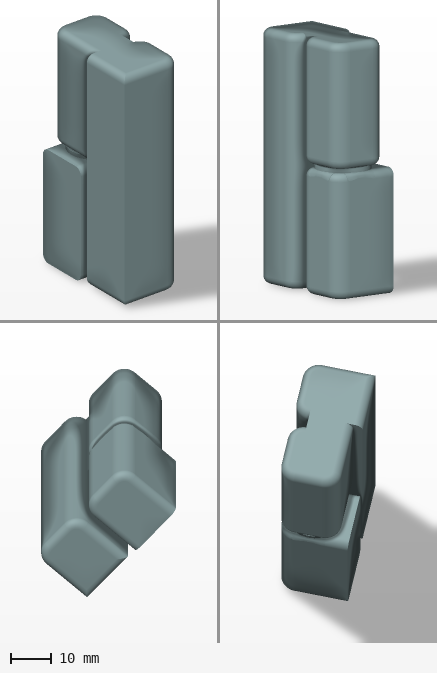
import cadquery as cq
import math

WIDTH = 32.5
DEPTH = 17.5
HEIGHT = 64.0

KNUCKLE = 15.05
EDGE_RADIUS = 2.0
CORNER_RADIUS = 4.0
COLLAR_DIAMETER = 14.0
COLLAR_HEIGHT = 1.0
LEAF_LIFT = 0.1
BLEND_STEPS = 4

LEFT = -WIDTH / 2
RIGHT = WIDTH / 2
FRONT = -DEPTH / 2
BACK = DEPTH / 2
BOTTOM = -HEIGHT / 2
TOP = HEIGHT / 2

SECTION_HEIGHT = (HEIGHT - COLLAR_HEIGHT) / 2
BLOCK_TOP = BOTTOM + SECTION_HEIGHT
KNUCKLE_BOTTOM = TOP - SECTION_HEIGHT
HALF = KNUCKLE / 2
AXIS_X = LEFT + HALF
AXIS_Y = BACK - HALF
LEAF_LEFT = RIGHT - KNUCKLE
LEAF_MIDDLE = RIGHT - HALF
KNUCKLE_FRONT = BACK - KNUCKLE
WEB_BACK = BACK - CORNER_RADIUS


def box_between(low, high):
    """Axis-aligned box between two opposite corners."""
    size = [b - a for a, b in zip(low, high)]
    return cq.Workplane("XY").box(*size, centered=False).translate(low)


def make_long_leaf():
    """Full-height leaf with round upright back corners and round end edges."""
    leaf = box_between((LEAF_LEFT, FRONT, BOTTOM + LEAF_LIFT), (RIGHT, BACK, TOP))
    leaf = leaf.edges("|Z and >Y").fillet(CORNER_RADIUS)
    return leaf.faces("<Z or >Z").edges().fillet(EDGE_RADIUS)


def make_knuckle():
    """Square knuckle with all its corners and end edges rounded."""
    knuckle = box_between((LEFT, KNUCKLE_FRONT, KNUCKLE_BOTTOM), (LEFT + KNUCKLE, BACK, TOP))
    knuckle = knuckle.edges("|Z").fillet(CORNER_RADIUS)
    return knuckle.faces("<Z or >Z").edges().fillet(EDGE_RADIUS)


def make_web():
    """Web from the knuckle into the leaf, round along its front edges."""
    web = box_between((AXIS_X, KNUCKLE_FRONT, KNUCKLE_BOTTOM), (LEAF_MIDDLE, WEB_BACK, TOP))
    return web.edges("|X and <Y").fillet(EDGE_RADIUS)


def square_off_shoulder(leaf):
    """Leave the top left edge of the leaf sharp in front of the open notch."""
    blank = box_between((LEAF_LEFT, FRONT, KNUCKLE_BOTTOM), (LEAF_MIDDLE, WEB_BACK, TOP))
    shoulder = blank.edges("|X and <Y and >Z").fillet(EDGE_RADIUS)
    return leaf.cut(blank).union(shoulder)


def make_hinge_leaf():
    """Long leaf joined by the web to the upper knuckle."""
    leaf = square_off_shoulder(make_long_leaf())
    return leaf.union(make_web()).union(make_knuckle()).clean()


def make_blend():
    """Blend from the collar rim to the left face, where the rim overhangs the edge rounding.

    Each section is an arc of the edge radius, tangent to the face and ending on the rim.
    """
    collar_radius = COLLAR_DIAMETER / 2
    inset = HALF - EDGE_RADIUS
    half_length = math.sqrt(collar_radius**2 - inset**2)
    inner_x = AXIS_X - inset + EDGE_RADIUS
    base_z = BLOCK_TOP - 2 * EDGE_RADIUS
    sections = []
    for step in range(-BLEND_STEPS, BLEND_STEPS + 1):
        offset = half_length * step / BLEND_STEPS
        rim = math.sqrt(collar_radius**2 - offset**2)
        angle = math.acos(min(1, max(0, (rim - inset) / EDGE_RADIUS)))
        tangent_z = BLOCK_TOP - EDGE_RADIUS * math.sin(angle)
        arc_centre_x = LEFT + EDGE_RADIUS
        middle = (arc_centre_x - EDGE_RADIUS * math.cos(angle / 2),
                  tangent_z + EDGE_RADIUS * math.sin(angle / 2))
        profile = (
            cq.Workplane("XZ", origin=(0, AXIS_Y + offset, 0))
            .moveTo(LEFT, base_z)
            .lineTo(LEFT, tangent_z)
            .threePointArc(middle, (AXIS_X - rim, BLOCK_TOP))
            .lineTo(inner_x, BLOCK_TOP)
            .lineTo(inner_x, base_z)
            .close()
        )
        sections.append(profile.val())
    return cq.Workplane(cq.Solid.makeLoft(sections))


def make_lower_block():
    """Block with a collar that carries the knuckle; the ends of its front face stay sharp."""
    blank = box_between((LEFT, FRONT, BOTTOM), (LEFT + KNUCKLE, BACK, BLOCK_TOP))
    blank = blank.edges("|Z and >Y").fillet(CORNER_RADIUS)
    end_edges = blank.faces("<Z or >Z").edges("not <Y")
    block = end_edges.fillet(EDGE_RADIUS)

    blend = make_blend()
    axis = ((AXIS_X, AXIS_Y, 0), (AXIS_X, AXIS_Y, 1))
    for turn in (0, -90, 180):
        block = block.union(blend.rotate(*axis, turn).intersect(blank))

    collar = (
        cq.Workplane("XY", origin=(AXIS_X, AXIS_Y, BLOCK_TOP))
        .circle(COLLAR_DIAMETER / 2)
        .extrude(COLLAR_HEIGHT)
    )
    return block.union(collar)


hinge_leaf = make_hinge_leaf()
lower_block = make_lower_block()
result = cq.Compound.makeCompound([hinge_leaf.solids().val(), lower_block.solids().val()])